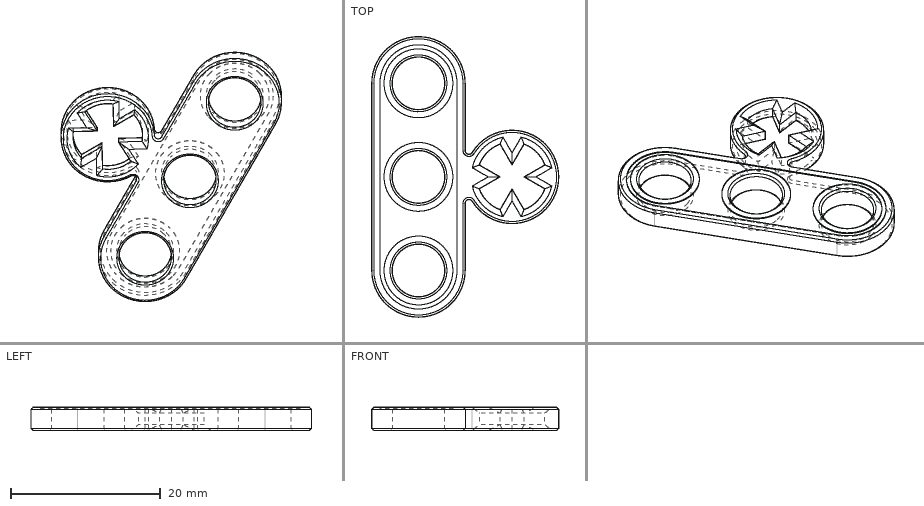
import cadquery as cq
import math

pitch = 12.5
thickness = pitch / 4
outer_radius = pitch / 2
edge_chamfer = 0.3
neck_fillet = 0.5

hole_count = 3
hole_diameter = 7.0
rim_diameter = 9.2
recess_width = 10.3
recess_depth = 0.15

opening_radius = 4.65
tooth_count = 4
tooth_tip_radius = 1.6
tooth_half_angle = math.radians(30)
tooth_root_radius = 5.6
opening_chamfer = 0.8

bar_length = (hole_count - 1) * pitch
bar_half_length = bar_length / 2
ring_x = pitch
hole_centers = [(0, i * pitch - bar_half_length) for i in range(hole_count)]


def plate():
    """Bar and ring in one outline, joined by a neck with two concave fillets."""
    fillet_x = outer_radius + neck_fillet
    fillet_y = 2 * math.sqrt(outer_radius * neck_fillet)
    ring_share = outer_radius / (outer_radius + neck_fillet)
    ring_touch_x = ring_x + (fillet_x - ring_x) * ring_share
    ring_touch_y = fillet_y * ring_share

    ring_angle = math.atan2(-fillet_y, ring_x - fillet_x)
    middle_angle = (ring_angle - math.pi) / 2
    middle_x = fillet_x + neck_fillet * math.cos(middle_angle)
    middle_y = fillet_y + neck_fillet * math.sin(middle_angle)

    outline = (
        cq.Workplane("XY")
        .moveTo(-outer_radius, -bar_half_length)
        .threePointArc((0, -bar_half_length - outer_radius), (outer_radius, -bar_half_length))
        .lineTo(outer_radius, -fillet_y)
        .threePointArc((middle_x, -middle_y), (ring_touch_x, -ring_touch_y))
        .threePointArc((ring_x + outer_radius, 0), (ring_touch_x, ring_touch_y))
        .threePointArc((middle_x, middle_y), (outer_radius, fillet_y))
        .lineTo(outer_radius, bar_half_length)
        .threePointArc((0, bar_half_length + outer_radius), (-outer_radius, bar_half_length))
        .close()
    )
    return outline.extrude(thickness).faces("|Z").edges().chamfer(edge_chamfer)


def chamfered_hole_cutter(radius, chamfer):
    """Solid of a through hole on the Z axis, widened by a 45 degree chamfer at both ends."""
    wide_radius = radius + chamfer
    return (
        cq.Workplane("XZ")
        .polyline([
            (0, 0),
            (wide_radius, 0),
            (radius, chamfer),
            (radius, thickness - chamfer),
            (wide_radius, thickness),
            (0, thickness),
        ])
        .close()
        .revolve(360, (0, 0), (0, 1))
    )


def recess_cutter():
    """Shallow recess in the top of the bar that leaves a raised rim around each hole."""
    floor = cq.Workplane("XY").workplane(offset=thickness - recess_depth)
    slot = floor.slot2D(bar_length + recess_width, recess_width, 90).extrude(recess_depth)
    rims = floor.pushPoints(hole_centers).circle(rim_diameter / 2).extrude(recess_depth)
    return slot.cut(rims)


def tooth():
    """Pointed tooth on the +X side of the Z axis, its flanks chamfered top and bottom."""
    root_half_width = (tooth_root_radius - tooth_tip_radius) * math.tan(tooth_half_angle)
    prism = (
        cq.Workplane("XY")
        .polyline([
            (tooth_tip_radius, 0),
            (tooth_root_radius, root_half_width),
            (tooth_root_radius, -root_half_width),
        ])
        .close()
        .extrude(thickness)
    )
    return prism.faces("|Z").edges("not |Y").chamfer(opening_chamfer)


result = plate().cut(recess_cutter())

bar_hole = chamfered_hole_cutter(hole_diameter / 2, edge_chamfer)
for x, y in hole_centers:
    result = result.cut(bar_hole.translate((x, y, 0)))

result = result.cut(chamfered_hole_cutter(opening_radius, opening_chamfer).translate((ring_x, 0, 0)))
for i in range(tooth_count):
    turned_tooth = tooth().rotate((0, 0, 0), (0, 0, 1), i * 360 / tooth_count)
    result = result.union(turned_tooth.translate((ring_x, 0, 0)))